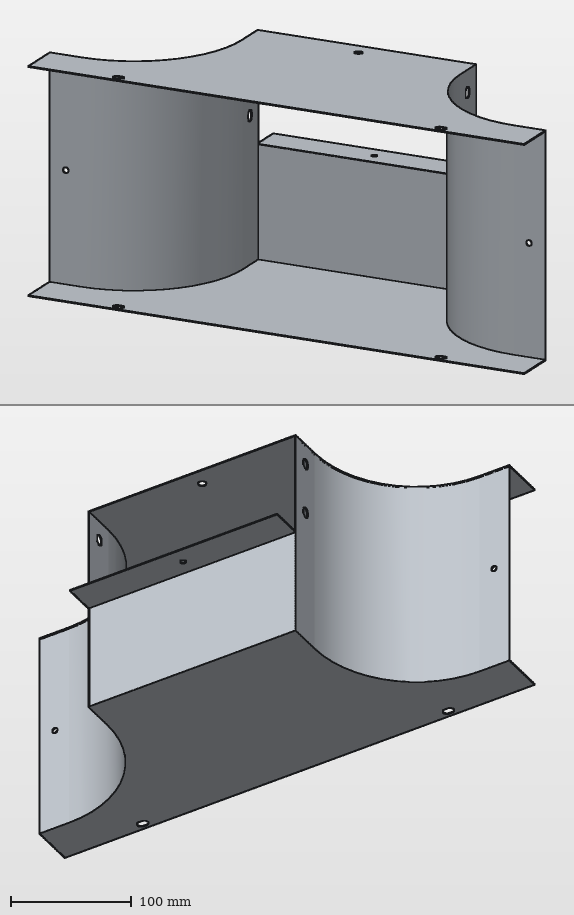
import cadquery as cq

SHEET = 1.0
OVERALL_LENGTH = 458.0
OVERALL_DEPTH = 198.0
INNER_WIDTH = 200.0
HEIGHT = 201.0
INNER_BEND_RADIUS = 100.0
FLANGE_TOP = 102.0
FRONT_LIP = 40.0
REAR_FLANGE = 29.0

BEND_RADIUS = INNER_BEND_RADIUS - SHEET
HALF_LENGTH = OVERALL_LENGTH / 2
HALF_NECK = INNER_WIDTH / 2 + SHEET
NECK_END = OVERALL_DEPTH - REAR_FLANGE
CURVE_END = FRONT_LIP + BEND_RADIUS
CURVE_START = HALF_NECK + BEND_RADIUS
MID_HEIGHT = HEIGHT / 2

SMALL_HOLE = 5.0
HOLE = 7.0
SLOT_LENGTH = 10.0
FRONT_SLOT_X = 149.0
FRONT_SLOT_Y = 6.5
EDGE_DISTANCE = 15.0
NECK_HOLE_SETBACK = EDGE_DISTANCE + SHEET
SIDE_SLOT_HEIGHTS = (131.0, 181.0)


def tee_plate(base):
    """Flat tee with concave quarter-circle corners, its underside at height base."""
    half = (
        cq.Workplane("XY", origin=(0, 0, base))
        .lineTo(HALF_LENGTH, 0)
        .lineTo(HALF_LENGTH, FRONT_LIP)
        .lineTo(CURVE_START, FRONT_LIP)
        .radiusArc((HALF_NECK, CURVE_END), BEND_RADIUS)
        .lineTo(HALF_NECK, NECK_END)
        .lineTo(0, NECK_END)
        .close()
        .extrude(SHEET)
    )
    return half.union(half.mirror("YZ"))


def side_wall():
    """Full-height wall on the +X side: arm flat, quarter bend, neck flat."""
    return (
        cq.Workplane("XY")
        .moveTo(HALF_LENGTH, FRONT_LIP)
        .lineTo(CURVE_START, FRONT_LIP)
        .radiusArc((HALF_NECK, CURVE_END), BEND_RADIUS)
        .lineTo(HALF_NECK, NECK_END)
        .lineTo(HALF_NECK - SHEET, NECK_END)
        .lineTo(HALF_NECK - SHEET, CURVE_END)
        .radiusArc((CURVE_START, FRONT_LIP - SHEET), -INNER_BEND_RADIUS)
        .lineTo(HALF_LENGTH, FRONT_LIP - SHEET)
        .close()
        .extrude(HEIGHT)
    )


def rear_wall():
    """Lower half of the neck end, bent outward into a flange near mid height."""
    neck_width = 2 * HALF_NECK
    wall = cq.Workplane("XY").box(neck_width, SHEET, FLANGE_TOP, centered=(True, False, False))
    flange = cq.Workplane("XY").box(
        neck_width, REAR_FLANGE + SHEET, SHEET, centered=(True, False, False)
    )
    wall = wall.translate((0, NECK_END - SHEET, 0))
    flange = flange.translate((0, NECK_END - SHEET, FLANGE_TOP - SHEET))
    return wall.union(flange)


def front_slots():
    """Slots near the front edge, through both plates."""
    return (
        cq.Workplane("XY")
        .pushPoints([(-FRONT_SLOT_X, FRONT_SLOT_Y), (FRONT_SLOT_X, FRONT_SLOT_Y)])
        .slot2D(SLOT_LENGTH, HOLE)
        .extrude(HEIGHT)
    )


def side_slots():
    """Upright slots through the upper half of both neck flats."""
    slot_y = NECK_END - NECK_HOLE_SETBACK
    return (
        cq.Workplane("YZ")
        .pushPoints([(slot_y, z) for z in SIDE_SLOT_HEIGHTS])
        .slot2D(SLOT_LENGTH, HOLE, 90)
        .extrude(HALF_LENGTH, both=True)
    )


def arm_holes():
    """Small holes in the arm flats of the side walls."""
    arm_hole_x = HALF_LENGTH - EDGE_DISTANCE
    return (
        cq.Workplane("XZ", origin=(0, CURVE_END, 0))
        .pushPoints([(-arm_hole_x, MID_HEIGHT), (arm_hole_x, MID_HEIGHT)])
        .circle(SMALL_HOLE / 2)
        .extrude(CURVE_END)
    )


def rear_holes():
    """Hole in the top plate ahead of the neck end, and a small hole in the flange."""
    top_hole = (
        cq.Workplane("XY", origin=(0, NECK_END - NECK_HOLE_SETBACK, MID_HEIGHT))
        .circle(HOLE / 2)
        .extrude(HEIGHT)
    )
    flange_hole = (
        cq.Workplane("XY", origin=(0, OVERALL_DEPTH - EDGE_DISTANCE, 0))
        .circle(SMALL_HOLE / 2)
        .extrude(HEIGHT)
    )
    return top_hole.union(flange_hole)


right_wall = side_wall()
shell = (
    tee_plate(0)
    .union(tee_plate(HEIGHT - SHEET))
    .union(right_wall)
    .union(right_wall.mirror("YZ"))
    .union(rear_wall())
)
result = shell.cut(front_slots()).cut(side_slots()).cut(arm_holes()).cut(rear_holes())